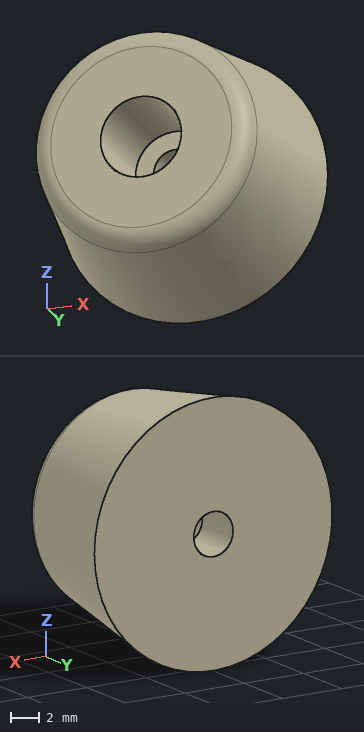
import cadquery as cq

base_diameter = 20.0
tip_diameter = 16.0
height = 12.0
tip_fillet = 1.5
bore_diameter = 3.3
counterbore_diameter = 6.0
counterbore_depth = 8.0

body = (
    cq.Workplane("XZ")
    .circle(base_diameter / 2)
    .workplane(offset=height)
    .circle(tip_diameter / 2)
    .loft(ruled=True)
)

body = body.faces("<Y").edges().fillet(tip_fillet)

result = (
    body.faces("<Y")
    .workplane(centerOption="CenterOfBoundBox")
    .cboreHole(bore_diameter, counterbore_diameter, counterbore_depth)
)